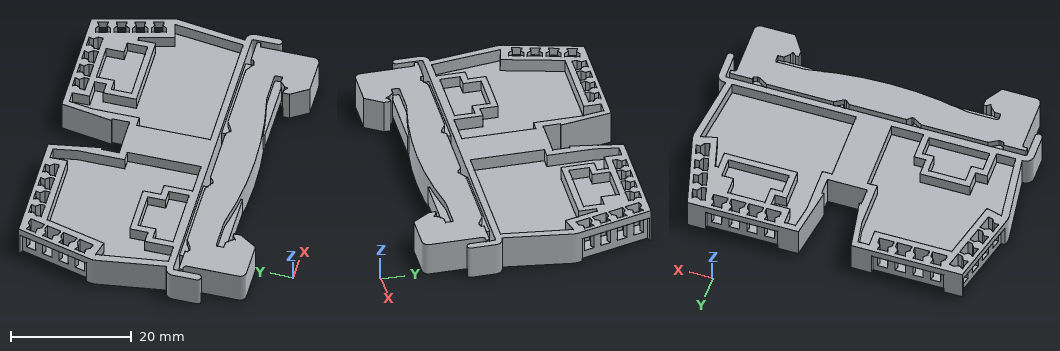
import cadquery as cq
import math


THICKNESS = 6.0
HALF_WIDTH = 27.5
HEIGHT = 38.95

TOP_CORNER_X = 24.0
TOP_INNER_X = 4.55
SIDE_CORNER_X = 27.55
SIDE_CORNER_Y = 25.35
SIDE_CORNER_RADIUS = 3.0
WAIST_X = 25.85
SHELF_TOP_Y = 13.15
SHELF_BOTTOM_Y = 12.0
NOTCH_FLOOR_Y = 27.05
NOTCH_HALF_WIDTH = 3.45
NOTCH_LIP_X = 3.1
NOTCH_LIP_Y = 30.05

ARM_WIDTH = 1.25
ARM_END_Y = 7.0
ARM_SHOULDER_RADIUS = 1.45

INNER_CORNER_RADIUS = 0.35

COMPARTMENT_DEPTH = 2.25
COMPARTMENT_TOP_Y = 34.85
COMPARTMENT_STEP_Y = 25.75
FINGER_INNER_X = 5.45
FINGER_OUTER_X = 7.35
FINGER_TOP_Y = 37.85
INNER_WALL_X = 4.8

CELL_COUNT = 4
CELL_PITCH = 3.1
CELL_BASE_HALF = 1.25
CELL_WAIST_HALF = 0.65
CELL_MOUTH_HALF = 0.9
CELL_MOUTH_INSET = 0.7
CELL_WAIST_INSET = 1.5
CELL_SHOULDER_INSET = 2.15
CELL_BASE_INSET = 2.95
CELL_FLOOR_Z = 1.5
FIRST_CELL_X = 9.85
FIRST_SIDE_CELL = 2.0

RECESS_DEPTH = CELL_MOUTH_INSET
RECESS_HEIGHT = 4.55
RECESS_MARGIN = 0.4

JACK_X = 15.0
JACK_WALL = 1.1
JACK_HALF = 5.3
JACK_NECK_HALF = 3.25
JACK_SHOULDER = 3.45
JACK_HEIGHT = 6.55
LOWER_JACK_Y = 13.5
UPPER_JACK_Y = 28.3
JACK_DEPTH = 1.9

FILL_OUTER_X = 23.1
FILL_BOTTOM_Y = 30.25

FOOT_X = 24.95
FOOT_TOP_Y = 11.05
FOOT_RAISED_Y = 11.35
FOOT_GROOVE_Y = 10.4
FOOT_LIP_Y = 10.4
FOOT_LIP_RADIUS = 0.5
FOOT_CORNER_RADIUS = 1.1
FOOT_ARCH_Y = 4.8
SLOT_TOP_Y = 6.4
SLOT_FLOOR_Y = 5.05
SLOT_END_X = 19.4
HOOK_NOSE_X = 16.05
ARCH_START_X = 14.0
ARCH_BLEND_RADIUS = 4.95

WEB_INSET_Z = 1.25
TONGUE_BOTTOM_Y = 4.95
TONGUE_INNER_X = 7.3
PAD_INNER_X = 6.05
PAD_OUTER_X = 21.85
PAD_BOTTOM_Y = 9.6


def left(points):
    """Turn (distance from centre, y) pairs into points on the negative X side."""
    return [(-x, y) for x, y in points]


def prism(points, z_low, z_high):
    return cq.Workplane("XY").workplane(offset=z_low).polyline(points).close().extrude(z_high - z_low)


def block(x_low, x_high, y_low, y_high, z_low, z_high):
    corners = [(x_low, y_low), (x_high, y_low), (x_high, y_high), (x_low, y_high)]
    return prism(corners, z_low, z_high)


def round_corner(solid, x, y, radius):
    """Fillet the upright edge that stands at (x, y)."""
    reach = 0.05
    selector = cq.selectors.BoxSelector(
        (x - reach, y - reach, -reach), (x + reach, y + reach, THICKNESS + reach)
    )
    return solid.edges("|Z").edges(selector).fillet(radius)


def mirrored(solid):
    return solid.mirror("YZ")


def half_body():
    arm_inner_x = HALF_WIDTH - ARM_WIDTH
    arm_middle_x = HALF_WIDTH - ARM_WIDTH / 2
    arm_round_y = ARM_END_Y + ARM_WIDTH / 2
    outer_side = left([
        (0, SHELF_BOTTOM_Y),
        (0, NOTCH_FLOOR_Y),
        (NOTCH_HALF_WIDTH, NOTCH_FLOOR_Y),
        (NOTCH_HALF_WIDTH, NOTCH_LIP_Y),
        (NOTCH_LIP_X, NOTCH_LIP_Y),
        (TOP_INNER_X, HEIGHT),
        (TOP_CORNER_X, HEIGHT),
        (SIDE_CORNER_X, SIDE_CORNER_Y),
        (WAIST_X, SHELF_TOP_Y),
        (HALF_WIDTH, SHELF_TOP_Y),
        (HALF_WIDTH, arm_round_y),
    ])
    body = (
        cq.Workplane("XY")
        .polyline(outer_side)
        .threePointArc((-arm_middle_x, ARM_END_Y), (-arm_inner_x, arm_round_y))
        .lineTo(-arm_inner_x, SHELF_BOTTOM_Y)
        .close()
        .extrude(THICKNESS)
    )
    body = round_corner(body, -SIDE_CORNER_X, SIDE_CORNER_Y, SIDE_CORNER_RADIUS)
    body = round_corner(body, -HALF_WIDTH, SHELF_TOP_Y, ARM_SHOULDER_RADIUS)
    return round_corner(body, -arm_inner_x, SHELF_BOTTOM_Y, INNER_CORNER_RADIUS)


def half_compartment():
    outline = left([
        (20.8, COMPARTMENT_TOP_Y),
        (FINGER_OUTER_X, COMPARTMENT_TOP_Y),
        (FINGER_OUTER_X, FINGER_TOP_Y),
        (FINGER_INNER_X, FINGER_TOP_Y),
        (INNER_WALL_X, 33.8),
        (INNER_WALL_X, COMPARTMENT_STEP_Y),
        (NOTCH_LIP_X, COMPARTMENT_STEP_Y),
        (NOTCH_LIP_X, SHELF_TOP_Y),
        (24.7, SHELF_TOP_Y),
        (26.25, 25.2),
        (23.5, 24.5),
    ])
    return prism(outline, THICKNESS - COMPARTMENT_DEPTH, THICKNESS)


def cell_row(first):
    """Cells and their recess along +X, with the outer edge of the wall on y = 0."""
    half_outline = [
        (CELL_BASE_HALF, -CELL_BASE_INSET),
        (CELL_BASE_HALF, -CELL_SHOULDER_INSET),
        (CELL_WAIST_HALF, -CELL_WAIST_INSET),
        (CELL_MOUTH_HALF, -CELL_MOUTH_INSET),
    ]
    outline = half_outline + [(-x, y) for x, y in reversed(half_outline)]
    cell = prism(outline, CELL_FLOOR_Z, THICKNESS)
    last = first + (CELL_COUNT - 1) * CELL_PITCH
    end_margin = CELL_BASE_HALF + RECESS_MARGIN
    row = block(first - end_margin, last + end_margin, -RECESS_DEPTH, RECESS_DEPTH, 0, RECESS_HEIGHT)
    for i in range(CELL_COUNT):
        row = row.union(cell.translate((first + i * CELL_PITCH, 0, 0)))
    return row


def half_cells():
    top_row = mirrored(cell_row(FIRST_CELL_X)).translate((0, HEIGHT, 0))
    side_angle = math.degrees(math.atan2(HEIGHT - SIDE_CORNER_Y, SIDE_CORNER_X - TOP_CORNER_X))
    side_row = (
        mirrored(cell_row(FIRST_SIDE_CELL))
        .rotate((0, 0, 0), (0, 0, 1), side_angle)
        .translate((-TOP_CORNER_X, HEIGHT, 0))
    )
    return top_row.union(side_row)


def half_foot():
    arch_mid_x = ARCH_START_X / 2
    arch_rise = SLOT_TOP_Y - FOOT_ARCH_Y
    arch_radius = (ARCH_START_X**2 + arch_rise**2) / (2 * arch_rise)
    arch_mid_y = FOOT_ARCH_Y + arch_radius - math.sqrt(arch_radius**2 - arch_mid_x**2)
    upper_and_hook = left([
        (0, FOOT_TOP_Y),
        (5.0, FOOT_TOP_Y),
        (5.7, FOOT_GROOVE_Y),
        (6.05, FOOT_GROOVE_Y),
        (7.65, FOOT_RAISED_Y),
        (19.3, FOOT_RAISED_Y),
        (20.9, FOOT_GROOVE_Y),
        (21.25, FOOT_GROOVE_Y),
        (PAD_OUTER_X, 10.6),
        (PAD_OUTER_X, FOOT_TOP_Y),
        (WAIST_X, FOOT_TOP_Y),
        (WAIST_X, FOOT_LIP_Y),
        (FOOT_X, FOOT_LIP_Y),
        (FOOT_X, 0),
        (18.0, 0),
        (HOOK_NOSE_X, 2.95),
        (HOOK_NOSE_X, 4.2),
        (16.6, 4.2),
        (17.25, 3.65),
        (17.5, 4.2),
        (18.35, SLOT_FLOOR_Y),
        (SLOT_END_X, SLOT_FLOOR_Y),
        (SLOT_END_X, SLOT_TOP_Y),
        (ARCH_START_X, SLOT_TOP_Y),
    ])
    foot = (
        cq.Workplane("XY")
        .polyline(upper_and_hook)
        .threePointArc((-arch_mid_x, arch_mid_y), (0, FOOT_ARCH_Y))
        .close()
        .extrude(THICKNESS)
    )
    foot = round_corner(foot, -FOOT_X, 0, FOOT_CORNER_RADIUS)
    foot = round_corner(foot, -FOOT_X, FOOT_LIP_Y, FOOT_LIP_RADIUS)
    foot = round_corner(foot, -SLOT_END_X, SLOT_TOP_Y, INNER_CORNER_RADIUS)
    return round_corner(foot, -ARCH_START_X, SLOT_TOP_Y, ARCH_BLEND_RADIUS)


def half_webs():
    z_low, z_high = WEB_INSET_Z, THICKNESS - WEB_INSET_Z
    tongue = block(-SLOT_END_X, -TONGUE_INNER_X, TONGUE_BOTTOM_Y, SLOT_TOP_Y, z_low, z_high)
    pad = block(-PAD_OUTER_X, -PAD_INNER_X, PAD_BOTTOM_Y, SHELF_BOTTOM_Y, z_low, z_high)
    return tongue.union(pad)


def jack(x, y, depth, wall=0):
    """Stepped block with its floor centre at (x, y), enlarged all round by wall."""
    half = JACK_HALF + wall
    neck_half = JACK_NECK_HALF + wall
    outline = [
        (x - half, y - wall),
        (x + half, y - wall),
        (x + half, y + JACK_SHOULDER + wall),
        (x + neck_half, y + JACK_SHOULDER + wall),
        (x + neck_half, y + JACK_HEIGHT + wall),
        (x - neck_half, y + JACK_HEIGHT + wall),
        (x - neck_half, y + JACK_SHOULDER + wall),
        (x - half, y + JACK_SHOULDER + wall),
    ]
    return prism(outline, THICKNESS - depth, THICKNESS)


corner_fill = block(
    JACK_X, FILL_OUTER_X, FILL_BOTTOM_Y, COMPARTMENT_TOP_Y, THICKNESS - COMPARTMENT_DEPTH, THICKNESS
)

left_compartment = half_compartment()
right_compartment = mirrored(left_compartment)
lower_jack_walls = jack(-JACK_X, LOWER_JACK_Y, COMPARTMENT_DEPTH, JACK_WALL)
upper_jack_walls = jack(JACK_X, UPPER_JACK_Y, COMPARTMENT_DEPTH, JACK_WALL)
left_compartment = left_compartment.cut(lower_jack_walls)
right_compartment = right_compartment.cut(upper_jack_walls).cut(corner_fill)

half_housing = half_body().cut(half_cells()).union(half_foot()).union(half_webs())
result = (
    half_housing.union(mirrored(half_housing))
    .cut(left_compartment)
    .cut(right_compartment)
    .cut(jack(-JACK_X, LOWER_JACK_Y, JACK_DEPTH))
    .cut(jack(JACK_X, UPPER_JACK_Y, JACK_DEPTH))
    .clean()
)